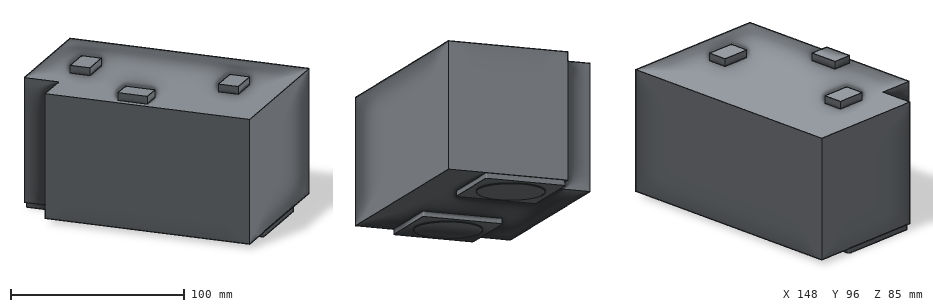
import cadquery as cq

body_length = 148.0
body_width = 96.0
body_height = 76.4
notch_length = 21.3
notch_width = 22.0

pad_long = 18.2
pad_short = 12.3
pad_height = 4.7
side_pad_offset = 45.9
front_pad_offset = 37.9

foot_length = 47.4
foot_width = 49.5
foot_height = 3.3
foot_corner_radius = 2.5 / 2
foot_end_inset = 0.5
disc_diameter = 40.0
disc_thickness = 0.6

foot_offset = body_length / 2 - foot_end_inset - foot_length / 2


def make_body():
    """Block with its left front corner cut away over the full height."""
    left = -body_length / 2
    right = body_length / 2
    front = -body_width / 2
    back = body_width / 2
    outline = [
        (left, back),
        (left, front + notch_width),
        (left + notch_length, front + notch_width),
        (left + notch_length, front),
        (right, front),
        (right, back),
    ]
    return cq.Workplane("XY").polyline(outline).close().extrude(body_height)


def make_pad(x, y, length, width):
    """Rectangular pad standing on the top face."""
    return (
        cq.Workplane("XY", origin=(x, y, body_height))
        .rect(length, width)
        .extrude(pad_height)
    )


def make_foot(x):
    """Foot with rounded vertical edges and a disc on its underside."""
    foot = (
        cq.Workplane("XY", origin=(x, 0, 0))
        .rect(foot_length, foot_width)
        .extrude(-foot_height)
        .edges("|Z")
        .fillet(foot_corner_radius)
    )
    disc = (
        cq.Workplane("XY", origin=(x, 0, -foot_height))
        .circle(disc_diameter / 2)
        .extrude(-disc_thickness)
    )
    return foot.union(disc)


result = make_body()
for side in (-1, 1):
    result = result.union(make_pad(side * side_pad_offset, 0, pad_short, pad_long))
    result = result.union(make_foot(side * foot_offset))
result = result.union(make_pad(0, -front_pad_offset, pad_long, pad_short))